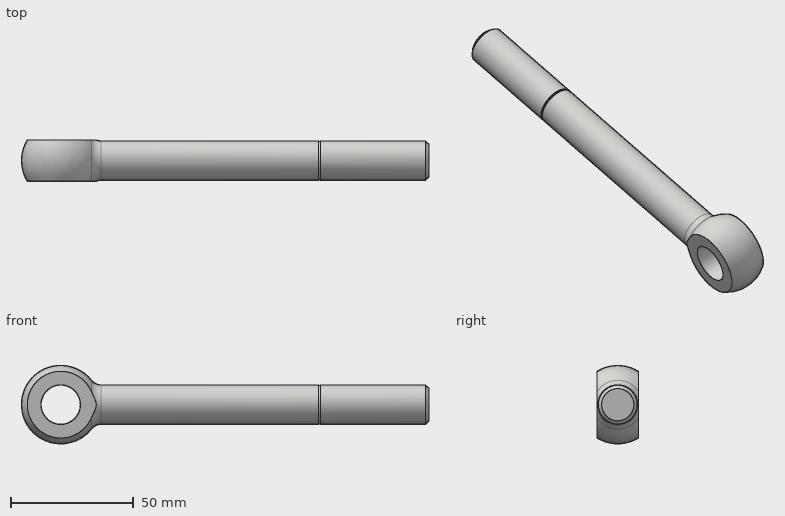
import cadquery as cq
import math

overall_length = 166.0
head_diameter = 32.0
head_width = 17.0
bore_diameter = 16.0
shank_diameter = 16.1
neck_fillet = 5.0
thread_length = 44.6
groove_width = 0.7
groove_depth = 0.2
tip_chamfer = 1.5

head_radius = head_diameter / 2
shank_radius = shank_diameter / 2
head_center_x = head_radius
groove_start_x = overall_length - thread_length - groove_width / 2
groove_end_x = groove_start_x + groove_width

center_distance = head_radius + neck_fillet
neck_center_height = shank_radius + neck_fillet
neck_center_offset = math.sqrt(center_distance**2 - neck_center_height**2)
neck_end_x = head_center_x + neck_center_offset
neck_angle = math.atan2(neck_center_height, neck_center_offset)


def point_on_circle(center_x, center_z, radius, angle):
    return (center_x + radius * math.cos(angle), center_z + radius * math.sin(angle))


def make_body():
    """Ball, neck and shank turned about the X axis."""
    neck_start = point_on_circle(head_center_x, 0, head_radius, neck_angle)
    neck_middle_angle = (neck_angle + math.pi + 1.5 * math.pi) / 2
    neck_middle = point_on_circle(neck_end_x, neck_center_height, neck_fillet, neck_middle_angle)
    groove_radius = shank_radius - groove_depth
    profile = (
        cq.Workplane("XZ")
        .moveTo(0, 0)
        .threePointArc((head_center_x, head_radius), neck_start)
        .threePointArc(neck_middle, (neck_end_x, shank_radius))
        .lineTo(groove_start_x, shank_radius)
        .lineTo(groove_start_x, groove_radius)
        .lineTo(groove_end_x, groove_radius)
        .lineTo(groove_end_x, shank_radius)
        .lineTo(overall_length - tip_chamfer, shank_radius)
        .lineTo(overall_length, shank_radius - tip_chamfer)
        .lineTo(overall_length, 0)
        .close()
    )
    return profile.revolve(360, (0, 0, 0), (1, 0, 0))


def flatten_head(body):
    """Trim the ball to two parallel faces."""
    slab_size = 3 * overall_length
    slab = cq.Workplane("XY").box(slab_size, head_width, slab_size)
    return body.intersect(slab)


def bore_eye(body):
    """Through bore across the head."""
    bore = (
        cq.Workplane("XZ", origin=(head_center_x, head_width / 2, 0))
        .circle(bore_diameter / 2)
        .extrude(head_width)
    )
    return body.cut(bore)


result = bore_eye(flatten_head(make_body()))